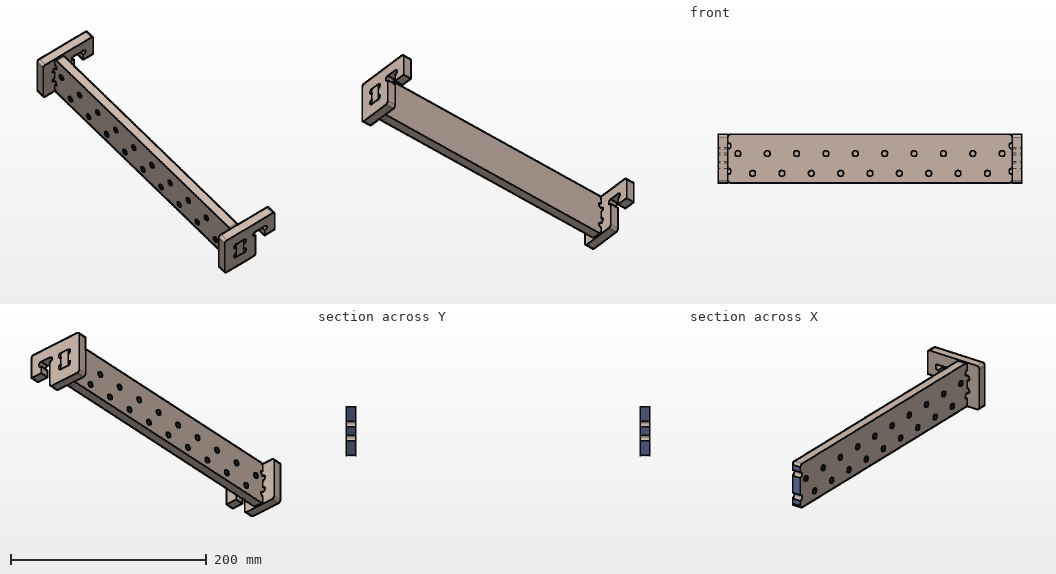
import cadquery as cq

length = 310.0
height = 50.0
stock_thickness = 10.0
corner_radius = 3.0
hole_diameter = 6.0
hole_radius = hole_diameter / 2

plate_width = 65.0
block_width = 40.3
slot_width = 11.5
slot_relief_inset = 0.3
slot_top_drop = 13.3
hook_drop = 27.5

tenon_height = 20.0

upper_row_count = 10
lower_row_count = upper_row_count - 1
row_end_margin = 20.0
hole_pitch = (length - 2 * row_end_margin) / (upper_row_count - 1)
lower_row_z = 10.0
upper_row_z = 30.0
hole_depth = 1.0

half_length = length / 2
shoulder_x = half_length - stock_thickness
beam_front_y = -stock_thickness / 2
block_front_y = -block_width / 2
block_back_y = block_front_y + block_width
hook_front_y = block_back_y + slot_width
plate_back_y = block_front_y + plate_width
slot_top_z = height - slot_top_drop
hook_tip_z = height - hook_drop
mid_z = height / 2
tenon_top_z = mid_z + tenon_height / 2
tenon_bottom_z = mid_z - tenon_height / 2


def cross_plate_cylinders(start_x, centres):
    """Cylinders along X through one plate thickness, at (Y, Z) centres."""
    return (
        cq.Workplane("YZ", origin=(start_x, 0, 0))
        .pushPoints(centres)
        .circle(hole_radius)
        .extrude(stock_thickness)
    )


def make_end_plate(start_x):
    """Hooked plate that fills start_x to start_x + stock_thickness."""
    plate = (
        cq.Workplane("YZ", origin=(start_x, 0, 0))
        .moveTo(block_front_y, 0)
        .lineTo(block_back_y, 0)
        .lineTo(block_back_y, slot_top_z)
        .lineTo(hook_front_y, slot_top_z)
        .lineTo(hook_front_y, hook_tip_z)
        .lineTo(plate_back_y, hook_tip_z)
        .lineTo(plate_back_y, height)
        .lineTo(block_front_y, height)
        .close()
        .extrude(stock_thickness)
    )
    plate = plate.faces("<Z or >Z").edges("|X").fillet(corner_radius)

    slot_relief_z = slot_top_z - hole_radius
    slot_reliefs = [
        (block_back_y - slot_relief_inset, slot_relief_z),
        (hook_front_y + slot_relief_inset, slot_relief_z),
    ]

    mortise = cq.Workplane("XY").box(stock_thickness, stock_thickness, tenon_height)
    mortise = mortise.translate((start_x + stock_thickness / 2, 0, mid_z))
    mortise_reliefs = [
        (y, z)
        for y in (-stock_thickness / 2, stock_thickness / 2)
        for z in (tenon_bottom_z + hole_radius, tenon_top_z - hole_radius)
    ]
    reliefs = cross_plate_cylinders(start_x, slot_reliefs + mortise_reliefs)
    return plate.cut(mortise).cut(reliefs)


def front_cylinders(centres, depth):
    """Cylinders sunk from the beam's front face, at (X, Z) centres."""
    return (
        cq.Workplane("XZ", origin=(0, beam_front_y, 0))
        .pushPoints(centres)
        .circle(hole_radius)
        .extrude(-depth)
    )


def row_of_holes(count, z):
    """Hole centres of one row, centred on the beam."""
    first_x = -(count - 1) * hole_pitch / 2
    return [(first_x + i * hole_pitch, z) for i in range(count)]


def make_beam():
    """Beam between the plates, with a tenon into each one."""
    web = cq.Workplane("XY").box(2 * shoulder_x, stock_thickness, height)
    web = web.edges("|Y").fillet(corner_radius).translate((0, 0, mid_z))

    tenon_reliefs = [
        (x, z)
        for x in (-shoulder_x, shoulder_x)
        for z in (tenon_bottom_z - hole_radius, tenon_top_z + hole_radius)
    ]
    web = web.cut(front_cylinders(tenon_reliefs, stock_thickness))

    tenons = cq.Workplane("XY").box(length, stock_thickness, tenon_height)
    tenons = tenons.translate((0, 0, mid_z))
    beam = web.union(tenons)

    holes = row_of_holes(upper_row_count, upper_row_z) + row_of_holes(lower_row_count, lower_row_z)
    return beam.cut(front_cylinders(holes, hole_depth))


end_plates = [make_end_plate(start_x) for start_x in (-half_length, shoulder_x)]
beam = make_beam()

result = cq.Compound.makeCompound([beam.val(), *[plate.val() for plate in end_plates]])